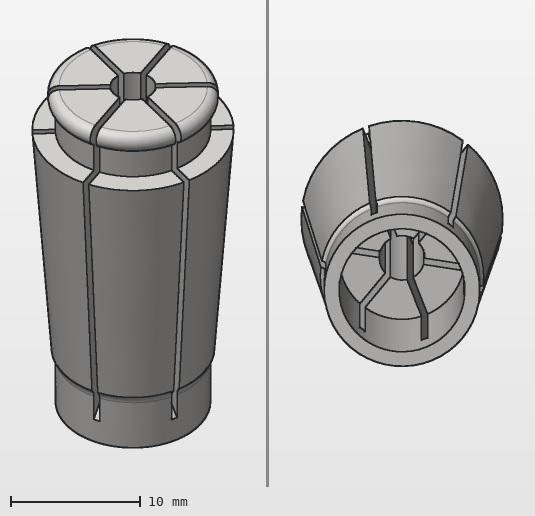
import cadquery as cq
import math

TOTAL_HEIGHT = 30.5

BODY_RADIUS = 6.0
TAIL_HEIGHT = 4.4

CONE_BOTTOM_Z = 5.12
CONE_TOP_Z = 26.3
CONE_TOP_RADIUS = 7.78
CONE_HALF_ANGLE = 4.0
CONE_HEIGHT = CONE_TOP_Z - CONE_BOTTOM_Z
CONE_BOTTOM_RADIUS = CONE_TOP_RADIUS - CONE_HEIGHT * math.tan(math.radians(CONE_HALF_ANGLE))

BEAD_TUBE_RADIUS = 0.86
BEAD_CENTER_RADIUS = 5.72
BEAD_CENTER_Z = TOTAL_HEIGHT - BEAD_TUBE_RADIUS
BEAD_OUTER_RADIUS = BEAD_CENTER_RADIUS + BEAD_TUBE_RADIUS
BEAD_NECK_DROP = math.sqrt(BEAD_TUBE_RADIUS**2 - (BODY_RADIUS - BEAD_CENTER_RADIUS) ** 2)

BORE_RADIUS = 1.75
TAIL_BORE_RADIUS = 4.85
TAIL_BORE_DEPTH = 12.0

SLOT_COUNT = 6
SLOT_PITCH = 360 / SLOT_COUNT
FIRST_SLOT_ANGLE = SLOT_PITCH / 2
SLOT_WIDTH = 0.5
SLOT_FLOOR_Z = 2.15
SLOT_FLOOR_SLOPE = 45.0
SLOT_OVERSHOOT = 1.0


def make_body():
    """Revolve the outer profile; X is the radius and Y is the height."""
    profile = (
        cq.Workplane("XZ")
        .lineTo(BODY_RADIUS, 0)
        .lineTo(BODY_RADIUS, TAIL_HEIGHT)
        .tangentArcPoint((CONE_BOTTOM_RADIUS, CONE_BOTTOM_Z), relative=False)
        .lineTo(CONE_TOP_RADIUS, CONE_TOP_Z)
        .lineTo(BODY_RADIUS, CONE_TOP_Z)
        .lineTo(BODY_RADIUS, BEAD_CENTER_Z - BEAD_NECK_DROP)
        .threePointArc((BEAD_OUTER_RADIUS, BEAD_CENTER_Z), (BEAD_CENTER_RADIUS, TOTAL_HEIGHT))
        .lineTo(0, TOTAL_HEIGHT)
        .close()
    )
    return profile.revolve(axisStart=(0, 0, 0), axisEnd=(0, 1, 0))


def cut_bores(body):
    """Cut the through bore and the wider bore in the tail."""
    bore = cq.Workplane("XY").circle(BORE_RADIUS).extrude(TOTAL_HEIGHT)
    tail_bore = cq.Workplane("XY").circle(TAIL_BORE_RADIUS).extrude(TAIL_BORE_DEPTH)
    return body.cut(bore).cut(tail_bore)


def make_slot_cutter():
    """Make the cutter for one slot, running from the axis out along +X."""
    outer_reach = CONE_TOP_RADIUS + SLOT_OVERSHOOT
    top_z = TOTAL_HEIGHT + SLOT_OVERSHOOT
    slope = math.tan(math.radians(SLOT_FLOOR_SLOPE))
    axis_floor_z = SLOT_FLOOR_Z + BODY_RADIUS * slope
    outer_floor_z = axis_floor_z - outer_reach * slope
    return (
        cq.Workplane("XZ")
        .moveTo(0, axis_floor_z)
        .lineTo(outer_reach, outer_floor_z)
        .lineTo(outer_reach, top_z)
        .lineTo(0, top_z)
        .close()
        .extrude(SLOT_WIDTH / 2, both=True)
    )


def cut_slots(body):
    """Cut the slots evenly spaced around the axis."""
    cutter = make_slot_cutter()
    for index in range(SLOT_COUNT):
        angle = FIRST_SLOT_ANGLE + index * SLOT_PITCH
        body = body.cut(cutter.rotate((0, 0, 0), (0, 0, 1), angle))
    return body


result = cut_slots(cut_bores(make_body()))